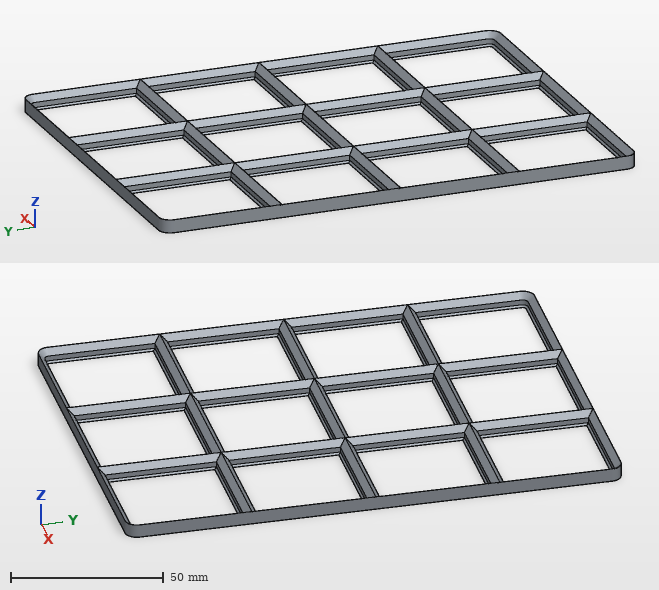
import cadquery as cq

columns = 3
rows = 4
pitch = 42.0
plate_width = columns * pitch
plate_length = rows * pitch
corner_radius = 4.0

lower_slope = 0.7
straight_height = 1.8
upper_slope = 2.15
straight_top = lower_slope + straight_height
plate_height = straight_top + upper_slope

straight_thickness = upper_slope
foot_thickness = upper_slope + lower_slope


def inset_outline(inset):
    """Rounded plate outline, moved inwards by the inset."""
    sketch = cq.Sketch().rect(plate_width - 2 * inset, plate_length - 2 * inset)
    return sketch.vertices().fillet(corner_radius - inset)


def opening_layer(bottom, top, bottom_inset, top_inset):
    """Layer of the frame opening, blended from the bottom outline to the top outline."""
    rise = cq.Location(cq.Vector(0, 0, top - bottom))
    return (
        cq.Workplane("XY")
        .workplane(offset=bottom)
        .placeSketch(inset_outline(bottom_inset), inset_outline(top_inset).moved(rise))
        .loft()
    )


def outer_frame():
    """Rounded frame around the grid, with a vertical outside and the wall profile inside."""
    frame = cq.Workplane("XY").placeSketch(inset_outline(0)).extrude(plate_height)
    frame = frame.cut(opening_layer(0, lower_slope, foot_thickness, straight_thickness))
    frame = frame.cut(
        opening_layer(lower_slope, straight_top, straight_thickness, straight_thickness)
    )
    return frame.cut(opening_layer(straight_top, plate_height, straight_thickness, 0))


def divider(plane, length):
    """Straight bar through the origin along the plane normal, with the wall profile on both sides."""
    profile = [
        (-foot_thickness, 0),
        (foot_thickness, 0),
        (straight_thickness, lower_slope),
        (straight_thickness, straight_top),
        (0, plate_height),
        (-straight_thickness, straight_top),
        (-straight_thickness, lower_slope),
    ]
    return cq.Workplane(plane).polyline(profile).close().extrude(length / 2, both=True)


def divider_positions(cells):
    """Positions of the lines between neighbouring cells, centred on the origin."""
    return [(index - cells / 2) * pitch for index in range(1, cells)]


grid = outer_frame()

for x in divider_positions(columns):
    grid = grid.union(divider("XZ", plate_length).translate((x, 0, 0)))

for y in divider_positions(rows):
    grid = grid.union(divider("YZ", plate_width).translate((0, y, 0)))

result = grid.solids()